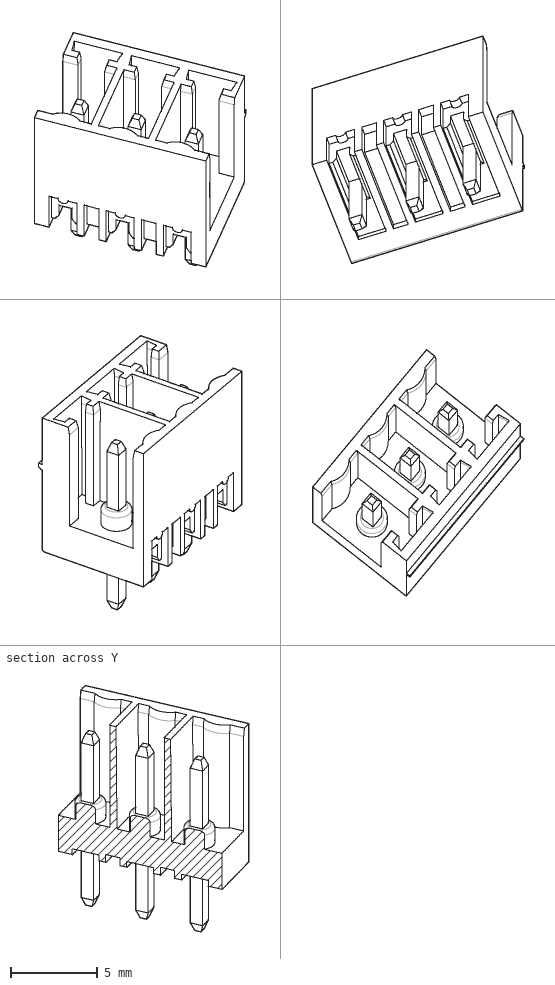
import cadquery as cq


pin_count = 3
body_width = 10.5
body_depth = 6.99
body_height = 9.2
pitch = body_width / pin_count
back_edge_radius = 0.19

lip_reach = 0.25
lip_top = 6.0
lip_tip_bottom = 5.72
lip_root_bottom = 5.6

floor_height = 2.42
lead_in_height = 0.5
divider_thickness = 0.43
front_wall = 0.7
lead_in_reach = 0.1
bulge_reach = 0.3
bulge_half_width = 0.85
rib_front = 5.1
rib_back = 5.66
rib_gap_half = 0.81
groove_back = 6.33
groove_front_half = 1.37
groove_back_half = 1.47
back_draft = 0.05
divider_draft = 0.06

pin_width = 0.81
pin_y = 3.0
pin_bottom = -3.4
pin_top = 8.0
tip_width = 0.4
tip_length = 0.57
collar_diameter = 1.8
collar_top = 3.59
collar_radius = 0.24

slot_height = 2.68
pin_slot_width = 1.7
pin_slot_depth = 0.44
pin_slot_ceiling = 0.38
tab_radius = 0.3
divider_slot_width = 0.9
divider_slot_depth = 0.5
divider_slot_ceiling = 0.52
hollow_end = 5.56
channel_top = 1.6
flare_width = 0.23
flare_height = 0.34

pin_places = [(i - (pin_count - 1) / 2) * pitch for i in range(pin_count)]
divider_places = [x + pitch / 2 for x in pin_places[:-1]]


def box(x_min, x_max, y_min, y_max, z_min, z_max):
    size = (x_max - x_min, y_max - y_min, z_max - z_min)
    return cq.Workplane("XY").box(*size, centered=False).translate((x_min, y_min, z_min))


def make_housing():
    housing = box(-body_width / 2, body_width / 2, 0, body_depth, 0, body_height)
    housing = housing.edges(">Y and <Z").fillet(back_edge_radius)
    lip = (
        cq.Workplane("YZ")
        .moveTo(body_depth, lip_top)
        .lineTo(body_depth + lip_reach, lip_top)
        .lineTo(body_depth + lip_reach, lip_tip_bottom)
        .lineTo(body_depth, lip_root_bottom)
        .close()
        .extrude(body_width / 2, both=True)
    )
    return housing.union(lip)


def cavity_outline(x, z, lead_in, draft):
    """Cavity outline at height z; lead_in and draft are shares, 0 to 1, of their full widening."""
    open_half = pitch / 2
    walled_half = (pitch - divider_thickness) / 2
    left = x - (open_half if x == pin_places[0] else walled_half)
    right = x + (open_half if x == pin_places[-1] else walled_half - divider_draft * (1 - draft))
    front = front_wall - lead_in_reach * lead_in
    rib_face = rib_front + lead_in_reach * lead_in
    gap_half = rib_gap_half + lead_in_reach * lead_in
    back = groove_back + back_draft * draft
    return (
        cq.Workplane("XY", origin=(0, 0, z))
        .moveTo(left, front)
        .lineTo(x - bulge_half_width, front)
        .threePointArc((x, front + bulge_reach), (x + bulge_half_width, front))
        .lineTo(right, front)
        .lineTo(right, rib_face)
        .lineTo(x + gap_half, rib_face)
        .lineTo(x + gap_half, rib_back)
        .lineTo(x + groove_front_half, rib_back)
        .lineTo(x + groove_back_half, back)
        .lineTo(x - groove_back_half, back)
        .lineTo(x - groove_front_half, rib_back)
        .lineTo(x - gap_half, rib_back)
        .lineTo(x - gap_half, rib_face)
        .lineTo(left, rib_face)
        .close()
        .val()
    )


def make_cavity(x):
    shoulder = body_height - lead_in_height
    shoulder_draft = (shoulder - floor_height) / (body_height - floor_height)
    floor_outline = cavity_outline(x, floor_height, 0, 0)
    shoulder_outline = cavity_outline(x, shoulder, 0, shoulder_draft)
    top_outline = cavity_outline(x, body_height, 1, 1)
    lower = cq.Solid.makeLoft([floor_outline, shoulder_outline], True)
    upper = cq.Solid.makeLoft([shoulder_outline, top_outline], True)
    return cq.Workplane(lower).union(cq.Workplane(upper))


def make_slot(x, width, depth, ceiling):
    """Slot in the front wall with a hollow running back under the floor."""
    left = x - width / 2
    right = x + width / 2
    slot = box(left, right, 0, depth, 0, slot_height)
    return slot.union(box(left, right, 0, hollow_end, 0, ceiling))


def make_pin_slot(x):
    slot = make_slot(x, pin_slot_width, pin_slot_depth, pin_slot_ceiling)
    tab = (
        cq.Workplane("XZ", origin=(x, 0, slot_height))
        .circle(tab_radius)
        .extrude(-pin_slot_depth)
    )
    half = pin_width / 2
    channel = (
        cq.Workplane("XZ", origin=(x, 0, 0))
        .moveTo(-half, channel_top)
        .lineTo(half, channel_top)
        .lineTo(half, pin_slot_ceiling + flare_height)
        .lineTo(half + flare_width, pin_slot_ceiling)
        .lineTo(-half - flare_width, pin_slot_ceiling)
        .lineTo(-half, pin_slot_ceiling + flare_height)
        .close()
        .extrude(-pin_y - half)
    )
    return slot.cut(tab).union(channel)


def pin_tip(x, z, length):
    return (
        cq.Workplane("XY", origin=(x, pin_y, z))
        .rect(pin_width, pin_width)
        .workplane(offset=length)
        .rect(tip_width, tip_width)
        .loft()
    )


def make_pin(x):
    shank_bottom = pin_bottom + tip_length
    shank_top = pin_top - tip_length
    half = pin_width / 2
    shank = box(x - half, x + half, pin_y - half, pin_y + half, shank_bottom, shank_top)
    pin = shank.union(pin_tip(x, shank_top, tip_length))
    pin = pin.union(pin_tip(x, shank_bottom, -tip_length))
    collar = (
        cq.Workplane("XY", origin=(x, pin_y, channel_top))
        .circle(collar_diameter / 2)
        .extrude(collar_top - channel_top)
        .faces(">Z")
        .edges()
        .fillet(collar_radius)
    )
    return pin.union(collar)


result = make_housing()
for place in divider_places:
    result = result.cut(make_slot(place, divider_slot_width, divider_slot_depth, divider_slot_ceiling))
for place in pin_places:
    result = result.cut(make_cavity(place)).cut(make_pin_slot(place))
for place in pin_places:
    result = result.union(make_pin(place))